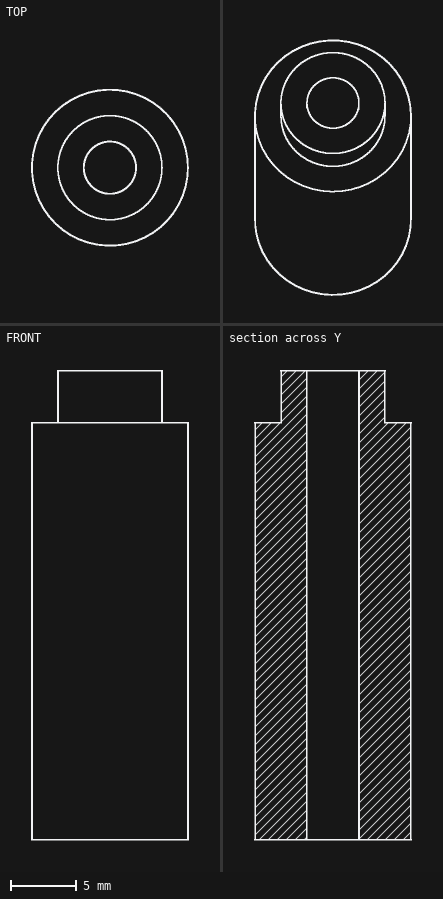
import cadquery as cq

total_height = 36.0
body_diameter = 12.0

spigot_diameter = 8.0
spigot_height = 4.0
body_height = total_height - spigot_height

bore_diameter = 4.0

body = cq.Workplane("XY").circle(body_diameter / 2).extrude(body_height)

stepped_body = body.faces(">Z").workplane().circle(spigot_diameter / 2).extrude(spigot_height)

result = stepped_body.faces(">Z").workplane().hole(bore_diameter)